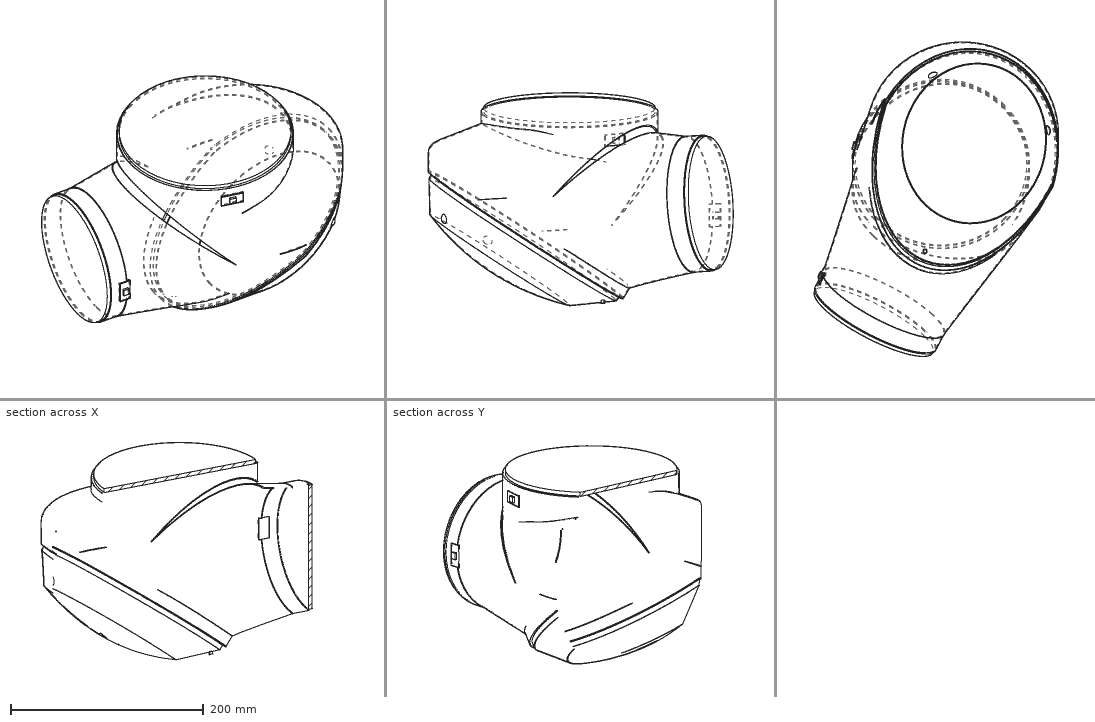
import cadquery as cq
import math


WALL = 1.0

INLET_RADIUS = 92.2
INLET_RIM_Z = 106.0
INLET_TOP_Z = 110.0
INLET_LIP_RADIUS = 89.4

BACK_RADIUS = 100.0
BACK_Y = 50.0
SHOULDER_EDGE_Z = 70.8
SHOULDER_ROOF_ANGLE = 23.5
SHOULDER_ROOF_RUN = 80.0
SHOULDER_FILLET = 8.0

OUTLET_RADIUS = 71.0
OUTLET_BAND_RADIUS = 71.4
OUTLET_LIP_RADIUS = 69.6
OUTLET_TAPER_END_Y = -130.5
OUTLET_BAND_Y = -133.0
OUTLET_RIM_Y = -152.3
OUTLET_END_Y = -156.23

GAP_INLET_ANGLE = 47.5
GAP_OUTLET_ANGLE = 42.2

JOINT_ANGLE = 35.0
JOINT_BACK_Z = 49.4
SEAM_RUN = 107.0
SEAM_ANGLE = 7.2
COLLAR_END_RUN = 249.6
COLLAR_HEIGHT = 24.0

RIM_START_RUN = 4.6
RIM_END_RUN = 245.0
RIM_HALF_WIDTH = 98.0
RIM_DEPTH = 5.5
DOME_START_RUN = 26.2
DOME_END_RUN = 203.8
DOME_HALF_WIDTH = 76.0
DOME_DEPTH = 36.6
DOME_SAG = 15.5

LATCH_RADIUS = 6.5
SIDE_LATCH_X = 64.0
SIDE_LATCH_RUN = 66.0
SIDE_LATCH_DEPTH = 34.0
BOTTOM_LATCH_RADIUS = 2.0
BOTTOM_LATCH_Y = -37.0
BOTTOM_LATCH_HEIGHT = 6.0
TOTAL_HEIGHT = 208.78

CLASP_LENGTH = 24.0
CLASP_WIDTH = 12.0
CLASP_RISE = 0.3
CLASP_BASE = 2.0
CLASP_KNOB_LENGTH = 7.0
CLASP_KNOB_WIDTH = 6.0
CLASP_KNOB_RISE = 2.7
INLET_CLASP_Z = 90.0
INLET_CLASP_ANGLE = -11.5
OUTLET_CLASP_Y = -135.7

FAR = 400.0

TAPER = math.asin((BACK_RADIUS - INLET_RADIUS) / BACK_Y)
TAPER_START_Y = -INLET_RADIUS * math.sin(TAPER)
BACK_END_Y = BACK_Y + BACK_RADIUS

SLANT = math.radians(JOINT_ANGLE)
JOINT_PLANE = cq.Plane(
    origin=(0, BACK_END_Y, JOINT_BACK_Z),
    xDir=(1, 0, 0),
    normal=(0, -math.sin(SLANT), math.cos(SLANT)),
)


def tangent_point(radius, centre_y):
    """Where the tapering side line touches a plan circle."""
    return (radius * math.cos(TAPER), centre_y - radius * math.sin(TAPER))


def plan_outline(z, inset):
    """Rounded back and tapering sides, shrunk evenly and closed across the inlet."""
    front_x, front_y = tangent_point(INLET_RADIUS - inset, 0)
    back_x, back_y = tangent_point(BACK_RADIUS - inset, BACK_Y)
    return (
        cq.Workplane("XY", origin=(0, 0, z))
        .moveTo(front_x, front_y)
        .lineTo(back_x, back_y)
        .threePointArc((0, BACK_END_Y - inset), (-back_x, back_y))
        .lineTo(-front_x, front_y)
        .close()
    )


def loft_between(lower, upper):
    return cq.Workplane(obj=cq.Solid.makeLoft([lower.val(), upper.val()], True))


def side_prism(points):
    """Polygon in the YZ plane, extended right through the part along X."""
    return cq.Workplane("YZ").polyline(points).close().extrude(FAR, both=True)


def gap_far_point(angle):
    """Distant point on a side of the gap, which rises towards -Y."""
    slope = math.radians(angle)
    return (TAPER_START_Y - FAR * math.cos(slope), FAR * math.sin(slope))


def above_joint(offset):
    """Everything higher than a plane parallel to the joint."""
    return cq.Workplane(JOINT_PLANE).workplane(offset=offset).rect(2 * FAR, 2 * FAR).extrude(FAR)


def make_shoulder(inset):
    """Back wall with a sloping roof and a rounded roof edge."""
    roof_slope = math.radians(SHOULDER_ROOF_ANGLE)
    edge_z = SHOULDER_EDGE_Z + inset * (math.tan(roof_slope) - 1 / math.cos(roof_slope))
    ridge_z = edge_z + SHOULDER_ROOF_RUN * math.tan(roof_slope)
    wall = plan_outline(0, inset).extrude(edge_z)
    roof = loft_between(plan_outline(edge_z, inset), plan_outline(ridge_z, inset + SHOULDER_ROOF_RUN))
    roof_edge = cq.selectors.BoxSelector((-FAR, -FAR, edge_z - WALL), (FAR, FAR, edge_z + WALL))
    return wall.union(roof).edges(roof_edge).fillet(SHOULDER_FILLET - inset)


def make_upright(inset):
    """Inlet pipe and shoulder above Z = 0, cut back along the gap."""
    pipe = cq.Workplane("XY").circle(INLET_RADIUS - inset).extrude(INLET_RIM_Z - inset)
    under_gap = side_prism([(TAPER_START_Y, 0), gap_far_point(GAP_INLET_ANGLE), (-FAR, 0)])
    return make_shoulder(inset).union(pipe).cut(under_gap)


def make_inlet_lip():
    bottom_z = INLET_RIM_Z - WALL
    return (
        cq.Workplane("XY", origin=(0, 0, bottom_z))
        .circle(INLET_LIP_RADIUS)
        .extrude(INLET_TOP_Z - bottom_z)
    )


def make_outlet(inset):
    """Outlet pipe with its two tapers, revolved about Y and cut back along the gap."""
    front = tangent_point(INLET_RADIUS - inset, 0)
    back = tangent_point(BACK_RADIUS - inset, BACK_Y)
    pipe = (
        cq.Workplane("XY")
        .moveTo(0, OUTLET_RIM_Y + inset)
        .lineTo(OUTLET_RADIUS - inset, OUTLET_RIM_Y + inset)
        .lineTo(OUTLET_RADIUS - inset, OUTLET_BAND_Y)
        .lineTo(OUTLET_BAND_RADIUS - inset, OUTLET_BAND_Y)
        .lineTo(OUTLET_BAND_RADIUS - inset, OUTLET_TAPER_END_Y)
        .lineTo(*front)
        .lineTo(*back)
        .lineTo(back[0], BACK_END_Y)
        .lineTo(0, BACK_END_Y)
        .close()
        .revolve(360, (0, 0, 0), (0, 1, 0))
    )
    over_gap = side_prism(
        [(TAPER_START_Y, 0), gap_far_point(GAP_OUTLET_ANGLE), (0, FAR), (FAR, FAR), (FAR, 0)]
    )
    plan = plan_outline(-FAR, inset).extrude(FAR)
    front_half = side_prism([(front[1], -FAR), (front[1], FAR), (-FAR, FAR), (-FAR, -FAR)])
    return pipe.cut(over_gap).intersect(plan.union(front_half))


def make_outlet_lip():
    inner_y = OUTLET_RIM_Y + WALL
    return (
        cq.Workplane("XZ", origin=(0, inner_y, 0))
        .circle(OUTLET_LIP_RADIUS)
        .extrude(inner_y - OUTLET_END_Y)
    )


def joint_outline(depth, start_run, end_run, half_width, seam_run=SEAM_RUN, seam_angle=SEAM_ANGLE):
    """Egg of two elliptic arcs parallel to the joint, meeting at the seam run."""
    overlap = math.sin(math.radians(seam_angle))
    back_length = (seam_run - start_run) / (1 - overlap)
    front_length = (end_run - seam_run) / (1 - overlap)
    seam_half_width = half_width * math.cos(math.radians(seam_angle))
    return (
        cq.Workplane(JOINT_PLANE)
        .workplane(offset=-depth)
        .center(0, -seam_run)
        .moveTo(seam_half_width, 0)
        .ellipseArc(half_width, back_length, seam_angle, 180 - seam_angle, startAtCurrent=True)
        .ellipseArc(half_width, front_length, 180 + seam_angle, 360 - seam_angle, startAtCurrent=True)
        .close()
    )


def make_collar(inset):
    """Joint outline raised square to the joint until it runs into the housing."""
    outline = joint_outline(0, inset, COLLAR_END_RUN - inset, BACK_RADIUS - inset)
    return outline.extrude(COLLAR_HEIGHT)


def rim_outline(depth, inset):
    return joint_outline(depth, RIM_START_RUN + inset, RIM_END_RUN - inset, RIM_HALF_WIDTH - inset)


def make_dome(inset, run):
    """Spherical cap squeezed across X so that its edge is the ellipse ending the wall."""
    half_length = (DOME_END_RUN - DOME_START_RUN) / 2 - inset
    sag = DOME_SAG - inset
    sphere_radius = (half_length**2 + sag**2) / (2 * sag)
    cap = (
        cq.Workplane("XZ")
        .lineTo(half_length, 0)
        .radiusArc((0, -sag), sphere_radius)
        .close()
        .revolve(360, (0, 0, 0), (0, 1, 0))
    )
    squeeze = (DOME_HALF_WIDTH - inset) / half_length
    squeezed = cap.val().transformGeometry(cq.Matrix([[squeeze, 0, 0, 0], [0, 1, 0, 0], [0, 0, 1, 0]]))
    dome_plane = cq.Workplane(JOINT_PLANE).workplane(offset=-DOME_DEPTH).center(0, -run).plane
    return cq.Workplane(obj=squeezed.moved(cq.Location(dome_plane)))


def make_bowl(inset):
    """Straight rim and narrowing wall, closed by a shallow dome."""
    dome_run = (DOME_START_RUN + DOME_END_RUN) / 2
    wall_end = joint_outline(
        DOME_DEPTH,
        DOME_START_RUN + inset,
        DOME_END_RUN - inset,
        DOME_HALF_WIDTH - inset,
        dome_run,
        0,
    )
    rim = rim_outline(0, inset).extrude(-RIM_DEPTH)
    wall = loft_between(rim_outline(RIM_DEPTH, inset), wall_end)
    return rim.union(wall).union(make_dome(inset, dome_run), clean=False)


def make_side_latch(side):
    """Round-ended boss running down the bowl wall, square to the joint."""
    return (
        cq.Workplane(JOINT_PLANE)
        .center(side * SIDE_LATCH_X, -SIDE_LATCH_RUN)
        .circle(LATCH_RADIUS)
        .extrude(-SIDE_LATCH_DEPTH)
        .faces(cq.selectors.DirectionMinMaxSelector(JOINT_PLANE.zDir, False))
        .edges()
        .fillet(0.9 * LATCH_RADIUS)
    )


def make_bottom_latch():
    lowest_z = INLET_TOP_Z - TOTAL_HEIGHT
    return (
        cq.Workplane("XY", origin=(0, BOTTOM_LATCH_Y, lowest_z))
        .circle(BOTTOM_LATCH_RADIUS)
        .extrude(BOTTOM_LATCH_HEIGHT)
    )


def make_clasp(radius):
    """Plate with a raised knob on the +X side of a band around Z, at Z = 0."""
    plate_x = radius + (CLASP_RISE - CLASP_BASE) / 2
    plate = cq.Workplane("XY").box(CLASP_RISE + CLASP_BASE, CLASP_LENGTH, CLASP_WIDTH)
    knob_x = radius + CLASP_KNOB_RISE / 2
    knob = cq.Workplane("XY").box(CLASP_KNOB_RISE, CLASP_KNOB_LENGTH, CLASP_KNOB_WIDTH)
    return plate.translate((plate_x, 0, 0)).union(knob.translate((knob_x, 0, 0)))


def make_inlet_clasp():
    clasp = make_clasp(INLET_RADIUS).rotate((0, 0, 0), (0, 0, 1), INLET_CLASP_ANGLE)
    return clasp.translate((0, 0, INLET_CLASP_Z))


def make_outlet_clasp():
    clasp = make_clasp(OUTLET_RADIUS).rotate((0, 0, 0), (1, 0, 0), 90)
    return clasp.translate((0, OUTLET_CLASP_Y, 0))


def make_housing(inset):
    """Upright, outlet and collar down to the joint, or just above it for the cavity."""
    body = make_upright(inset).union(make_outlet(inset)).union(make_collar(inset))
    return body.intersect(above_joint(inset))


def make_housing_shell():
    """Hollow housing with its end caps and clasps."""
    shell = make_housing(0).cut(make_housing(WALL))
    for detail in (make_inlet_lip(), make_outlet_lip(), make_inlet_clasp(), make_outlet_clasp()):
        shell = shell.union(detail)
    return shell.cut(make_joint_opening())


def make_bowl_shell():
    """Hollow bowl with its latches, open at the joint."""
    bowl = make_bowl(0)
    for latch in (make_side_latch(-1), make_side_latch(1), make_bottom_latch()):
        bowl = bowl.union(latch, clean=False)
    return bowl.cut(make_bowl(WALL), clean=False)


def make_joint_opening():
    """Passage through the joint, inside the bowl rim."""
    return rim_outline(-2 * WALL, WALL).extrude(-3 * WALL)


result = make_housing_shell().union(make_bowl_shell(), clean=False)
result = cq.Workplane(obj=result.solids().val())